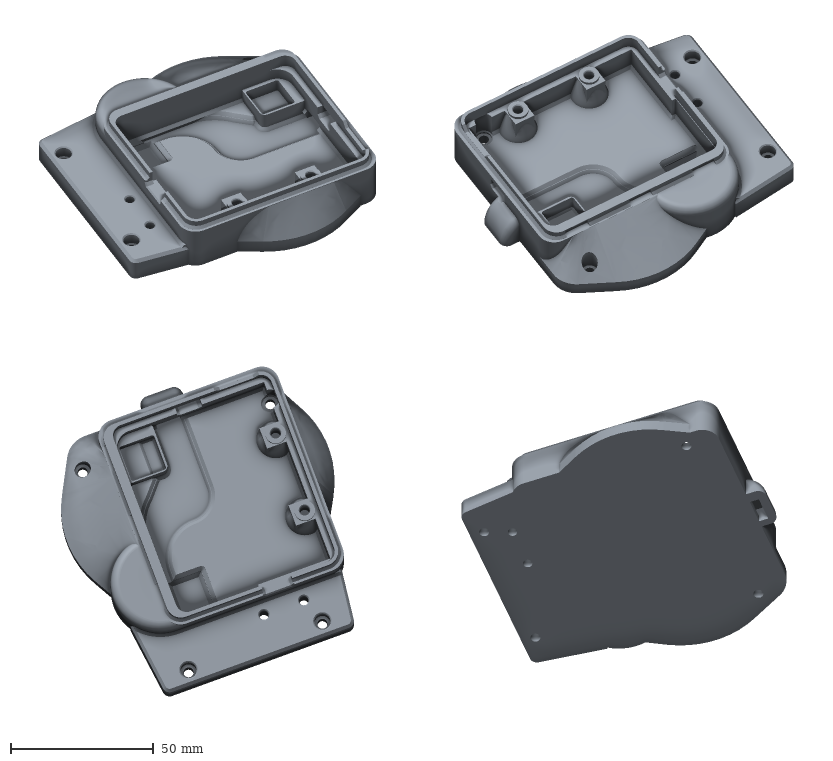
import cadquery as cq
import math

RIM_Z = 16.4
LIP_Z = 19.5
LEDGE_Z = 14.6
FLOOR_Z = 5.2
CHANNEL_Z = 2.9
PLATE_Z = 8.5
FLANGE_EDGE_Z = 5.0
TRAY_Z = 10.1
TRAY_FLOOR_Z = 4.1
WINDOW_Z = 10.0
EDGE_CHAMFER = 1.0
SLIVER = 0.01

BODY_LEFT, BODY_RIGHT = -26.6, 40.2
BODY_FRONT, BODY_BACK = -32.1, 45.1
BODY_RADIUS = 6.2
LIP_LEFT, LIP_RIGHT = -25.2, 38.4
LIP_FRONT, LIP_BACK = -30.4, 43.0
LIP_RADIUS = 5.2
LIP_FOOT = 0.9
LIP_WALL = 1.2
CAVITY_LEFT, CAVITY_RIGHT = -21.8, 35.0
CAVITY_FRONT, CAVITY_BACK = -28.9, 39.7
CHANNEL_BACK = 43.4
SNAP_RECESSES = [(27.7, 37.2), (1.7, 10.7), (-24.5, -15.3)]

FLANGE_WIDTH = 97.6
FLANGE_RADIUS = 34.1
FLANGE_CENTER_X = FLANGE_WIDTH / 2 - FLANGE_RADIUS
FLANGE_Y = 11.9
FLANGE_FRONT = -16.5
FLANGE_ANGLE = 29.0
LOBE_RADIUS = 9.5
LOBE_X = 29.9
FLANGE_OVERLAP = 0.1

POD_X, POD_RADIUS = -23.9, 17.3
POD_Y = BODY_FRONT + POD_RADIUS
POD_FILLET = 3.1

PLATE_FRONT = -51.6
PLATE_BACK = -24.8
PLATE_HALF_FRONT, PLATE_HALF_BACK = 35.3, 38.6
PLATE_RADIUS = 2.6

COWL_HALF = 7.6
COWL_RADIUS = 12.1
COWL_FILLET = 3.1
COWL_Y = -PLATE_FRONT - COWL_RADIUS

SCREW_DIA = 3.5
HEAD_DIA = 5.7
HEAD_RIM_DIA = 6.5
HEAD_SEAT_Z = 4.1
REAR_SCREW_X, REAR_SCREW_Y = 35.0, 33.4
PLATE_SCREW_X, PLATE_SCREW_Y = 25.0, -46.5
SMALL_HOLE_DIA = 3.3
SMALL_HOLE_RIM = 0.4
SMALL_HOLES = [(6.6, -37.2), (21.5, -37.2)]

POST_X = 32.4
POST_YS = (20.9, -8.5)
POST_BASE_RADIUS = 6.8
POST_TOP_RADIUS = 3.8
POST_WIDTH = 7.7
POST_REACH = 4.6
POST_COLLAR_DIA = 7.2
POST_COLLAR = 1.0
POST_HOLE_DIA = 3.6
POST_HOLE_DEPTH = 8.3
POST_HOLE_RIM = 0.3


def block(x0, x1, y0, y1, z0, z1):
    return cq.Workplane("XY").box(x1 - x0, y1 - y0, z1 - z0, centered=False).translate((x0, y0, z0))


def rounded_block(x0, x1, y0, y1, z0, z1, radius):
    return block(x0, x1, y0, y1, z0, z1).edges("|Z").fillet(radius)


def footed_block(x0, x1, y0, y1, z0, z1, radius, foot):
    """Rounded block with a 45 degree skirt of the given width round its base."""
    skirt = rounded_block(x0 - foot, x1 + foot, y0 - foot, y1 + foot, z0, z0 + foot + SLIVER, radius + foot)
    skirt = skirt.faces(">Z").edges().chamfer(foot)
    return rounded_block(x0, x1, y0, y1, z0, z1, radius).union(skirt)


def cone(x, y, z0, z1, r0, r1):
    return cq.Workplane("XY").add(cq.Solid.makeCone(r0, r1, z1 - z0, cq.Vector(x, y, z0)))


def cylinder(x, y, z0, z1, dia):
    return cq.Workplane("XY", (x, y, z0)).circle(dia / 2).extrude(z1 - z0)


def rimmed_hole(x, y, z0, z1, dia, rim):
    """Hole with a 45 degree chamfer of width rim at its top."""
    return cylinder(x, y, z0, z1, dia).union(cone(x, y, z1 - rim, z1, dia / 2, dia / 2 + rim))


def screw_hole(x, y, surface_z):
    rim = (HEAD_RIM_DIA - HEAD_DIA) / 2
    hole = cylinder(x, y, 0, surface_z, SCREW_DIA)
    return hole.union(rimmed_hole(x, y, HEAD_SEAT_Z, surface_z, HEAD_DIA, rim))


def flange_outline(z):
    """Left flange: rounded rear lobe, straight flank, side arc and straight front flank."""
    angle = math.radians(FLANGE_ANGLE)
    mid = math.radians((FLANGE_ANGLE + 90) / 2)
    lobe_y = BODY_BACK - LOBE_RADIUS
    arc_x = -FLANGE_CENTER_X - FLANGE_RADIUS * math.cos(angle)
    arc_y = FLANGE_RADIUS * math.sin(angle)
    front_x = arc_x + (FLANGE_Y - arc_y - FLANGE_FRONT) * math.tan(angle)
    return (
        cq.Workplane("XY", (0, 0, z)).moveTo(0, BODY_BACK).lineTo(-LOBE_X, BODY_BACK)
        .threePointArc((-LOBE_X - LOBE_RADIUS * math.cos(mid), lobe_y + LOBE_RADIUS * math.sin(mid)),
                       (-LOBE_X - LOBE_RADIUS * math.cos(angle), lobe_y + LOBE_RADIUS * math.sin(angle)))
        .lineTo(arc_x, FLANGE_Y + arc_y)
        .threePointArc((-FLANGE_CENTER_X - FLANGE_RADIUS, FLANGE_Y), (arc_x, FLANGE_Y - arc_y))
        .lineTo(front_x, FLANGE_FRONT).lineTo(0, FLANGE_FRONT).close()
    )


def flange(wall_x):
    """Left flange: a straight edge band and a ruled slope up to the housing wall at wall_x."""
    top_x = wall_x + FLANGE_OVERLAP
    back_y, lobe_end_y, flank_end_y, arc_end_y = 34.6, 29.9, 25.8, 0
    front_inset = 2.1
    slope = (
        flange_outline(FLANGE_EDGE_Z).workplane(offset=RIM_Z - FLANGE_EDGE_Z)
        .moveTo(0, back_y).lineTo(top_x, back_y).lineTo(top_x, lobe_end_y)
        .lineTo(top_x, flank_end_y).lineTo(top_x, arc_end_y)
        .lineTo(top_x + front_inset, FLANGE_FRONT).lineTo(0, FLANGE_FRONT).close()
        .loft(ruled=True)
    )
    return flange_outline(0).extrude(FLANGE_EDGE_Z).union(slope)


def pod():
    """Round pod whose straight end runs into the housing."""
    end_x = -16.5
    return (
        cq.Workplane("XY").moveTo(end_x, BODY_FRONT).lineTo(POD_X, BODY_FRONT)
        .threePointArc((POD_X - POD_RADIUS, POD_Y), (POD_X, POD_Y + POD_RADIUS))
        .lineTo(end_x, POD_Y + POD_RADIUS).close().extrude(RIM_Z)
        .faces(">Z").edges("not >X").fillet(POD_FILLET)
    )


def plate():
    return (
        cq.Workplane("XY")
        .polyline([(-PLATE_HALF_FRONT, PLATE_FRONT), (PLATE_HALF_FRONT, PLATE_FRONT),
                   (PLATE_HALF_BACK, PLATE_BACK), (-PLATE_HALF_BACK, PLATE_BACK)])
        .close().extrude(PLATE_Z)
        .edges("|Z and <Y").fillet(PLATE_RADIUS)
        .faces(">Z").edges().chamfer(EDGE_CHAMFER)
    )


def wall_foot():
    """Chamfered skirt where the housing and the pod stand on the front plate."""
    z0, z1 = PLATE_Z, PLATE_Z + EDGE_CHAMFER
    left, right, back = -37.7, 37.2, -22.7
    inner_y = BODY_FRONT + EDGE_CHAMFER
    skirt = cone(POD_X, POD_Y, z0, z1, POD_RADIUS + EDGE_CHAMFER, POD_RADIUS)
    straight = (
        cq.Workplane("YZ", (POD_X, 0, 0))
        .polyline([(inner_y, z0), (BODY_FRONT - EDGE_CHAMFER, z0), (BODY_FRONT, z1), (inner_y, z1)])
        .close().extrude(right - POD_X)
    )
    front = block(left, BODY_RIGHT, PLATE_FRONT, back, z0, z1)
    return skirt.intersect(front).union(straight)


def cowl():
    """Quarter-round cowl with rounded ends behind the rear wall."""
    return (
        cq.Workplane("YZ", (-COWL_HALF, 0, 0)).moveTo(COWL_Y, 0).lineTo(COWL_Y + COWL_RADIUS, 0)
        .radiusArc((COWL_Y, COWL_RADIUS), -COWL_RADIUS).close().extrude(2 * COWL_HALF)
        .edges("%CIRCLE").fillet(COWL_FILLET)
    )


def lip():
    return footed_block(LIP_LEFT, LIP_RIGHT, LIP_FRONT, LIP_BACK, RIM_Z, LIP_Z, LIP_RADIUS, LIP_FOOT)


def snap_recess(y0, y1):
    """Undercut snap recess in the left lip, sloping out to the lip face near its top."""
    depth, back_height, full_height = 1.0, 1.1, 2.7
    left = LIP_LEFT - LIP_FOOT - 0.1
    return (
        cq.Workplane("XZ", (0, y1, 0))
        .polyline([(left, RIM_Z), (LIP_LEFT + depth, RIM_Z), (LIP_LEFT + depth, RIM_Z + back_height),
                   (LIP_LEFT, RIM_Z + full_height), (left, RIM_Z + full_height)])
        .close().extrude(y1 - y0)
    )


def cavity():
    """Lid seat above the ledge, and the deeper well with a bench along its right front wall."""
    bench_left, bench_back = 8.0, -27.5
    rear_radius, front_radius = 6.2, 3.1
    lid_seat = rounded_block(CAVITY_LEFT, LIP_RIGHT - LIP_WALL, LIP_FRONT + LIP_WALL, LIP_BACK - LIP_WALL,
                             LEDGE_Z, LIP_Z, LIP_RADIUS - LIP_WALL)
    well = block(CAVITY_LEFT, CAVITY_RIGHT, CAVITY_FRONT, CAVITY_BACK, FLOOR_Z, LEDGE_Z)
    well = well.cut(block(bench_left, CAVITY_RIGHT, CAVITY_FRONT, bench_back, FLOOR_Z, LEDGE_Z))
    well = well.edges("|Z and <X and >Y").fillet(rear_radius)
    well = well.edges("|Z and <X and <Y").fillet(front_radius)
    well = well.faces("<Z").edges().chamfer(EDGE_CHAMFER)
    return lid_seat.union(well)


def channel_outline(z):
    """Floor outline of the cable channel: rear wall, an S bend, then the left front pocket."""
    x_start, y_bend, bend_radius = 3.9, 12.9, 8.4
    x_end = -19.3
    x_mid, y_mid = x_start - bend_radius, y_bend - bend_radius
    end_radius = x_mid - x_end
    return (
        cq.Workplane("XY", (0, 0, z)).moveTo(x_start, CHANNEL_BACK).lineTo(x_start, y_bend)
        .radiusArc((x_mid, y_mid), bend_radius)
        .radiusArc((x_end, y_mid - end_radius), -end_radius)
        .lineTo(x_end, -16.5).lineTo(-25.8, -16.5).lineTo(-25.8, 3.3).lineTo(CAVITY_LEFT, 3.3)
        .threePointArc((-20.0, 9.8), (-15.5, 15.9)).lineTo(-10.7, 21.4).lineTo(-10.7, CHANNEL_BACK).close()
    )


def channel():
    """Cable channel with a steep lower flank and a 45 degree upper flank."""
    half_depth = (FLOOR_Z - CHANNEL_Z) / 2
    mid_z = CHANNEL_Z + half_depth
    lower = channel_outline(CHANNEL_Z).extrude(half_depth, taper=-40)
    upper = channel_outline(mid_z).offset2D(half_depth).extrude(half_depth, taper=-45)
    clip = block(CAVITY_LEFT, CAVITY_RIGHT, CAVITY_FRONT, CAVITY_BACK, 0, FLOOR_Z)
    return lower.union(upper).intersect(clip)


def corner_pocket():
    """Stepped pocket at the left front corner of the cavity floor."""
    bevel = 1.4
    upper = rounded_block(CAVITY_LEFT, -6.7, -28.4, -12.5, 3.5, FLOOR_Z, 1.5)
    upper = upper.faces("<Z").edges().chamfer(bevel)
    lower = block(-21.0, -8.3, -27.7, -13.8, 1.5, 3.7).faces("<Z").edges().chamfer(bevel)
    return upper.union(lower)


def tray():
    """Raised open box at the left rear corner of the cavity."""
    box = footed_block(-23.2, -6.7, 22.7, 40.8, CHANNEL_Z, TRAY_Z, 2.1, 1.2)
    hollow = rounded_block(-20.4, -7.4, 23.2, 36.2, TRAY_FLOOR_Z, TRAY_Z, 0.8)
    return box.cut(hollow.faces("<Z").edges().chamfer(0.7))


def post(y):
    """Lid post: a cone merged with a square column, with a drilled collar on top."""
    top = LEDGE_Z + POST_COLLAR
    base = cone(POST_X, y, FLOOR_Z, LEDGE_Z, POST_BASE_RADIUS, POST_TOP_RADIUS)
    column = block(POST_X - POST_REACH, CAVITY_RIGHT, y - POST_WIDTH / 2, y + POST_WIDTH / 2, FLOOR_Z, LEDGE_Z)
    collar = cylinder(POST_X, y, LEDGE_Z, top, POST_COLLAR_DIA)
    inside = block(CAVITY_LEFT, LIP_RIGHT, LIP_FRONT, LIP_BACK, 0, LIP_Z)
    solid = base.union(column).union(collar).intersect(inside)
    return solid.cut(rimmed_hole(POST_X, y, top - POST_HOLE_DEPTH, top, POST_HOLE_DIA, POST_HOLE_RIM))


def front_notch():
    """Notch through the front lip and wall, level with the lid seat and chamfered on the outside."""
    left, right, corner, bevel = 8.5, 19.6, 1.0, 0.5
    depth = 5.2
    top = LIP_Z + 1

    def outline(y, grow):
        return cq.Workplane("XZ", (0, y, 0)).polyline([
            (left - grow, top), (left - grow, LEDGE_Z + corner), (left + corner - grow, LEDGE_Z - grow),
            (right - corner + grow, LEDGE_Z - grow), (right + grow, LEDGE_Z + corner), (right + grow, top),
        ]).close()

    notch = outline(LIP_FRONT + 2.1, 0).extrude(depth)
    flare = outline(BODY_FRONT + bevel, 0).workplane(offset=bevel).add(outline(BODY_FRONT, bevel)).toPending()
    return notch.union(flare.loft(ruled=True))


def rear_notch():
    """Notch with sloping ends in the rear lip."""
    left, right, depth = 17.3, 34.0, 2.1
    return (
        cq.Workplane("XZ", (0, BODY_BACK, 0))
        .polyline([(left, LIP_Z), (left + depth, LIP_Z - depth), (right - depth, LIP_Z - depth), (right, LIP_Z)])
        .close().extrude(BODY_BACK - LIP_BACK + LIP_WALL + 0.2)
    )


def rear_window():
    window = block(2.6, 11.9, 39.2, BODY_BACK + 2.1, WINDOW_Z, LEDGE_Z)
    return window.edges("|Y and <Z").chamfer(1.2)


def cable_exit():
    """Passage from the channel through the rear wall, opening downwards under the cowl."""
    left, right, back, top = -5.2, 3.9, 48.5, 7.2
    passage = block(left, right, CAVITY_BACK - 1, back, CHANNEL_Z, top)
    return passage.union(block(left, right, BODY_BACK, back, 0, top))


result = rounded_block(BODY_LEFT, BODY_RIGHT, BODY_FRONT, BODY_BACK, 0, RIM_Z, BODY_RADIUS)
right_flange = flange(-BODY_RIGHT).mirror("YZ")
for piece in (flange(BODY_LEFT), right_flange, pod(), plate(), wall_foot(), cowl(), lip()):
    result = result.union(piece)

for removed in (cavity(), channel(), corner_pocket()):
    result = result.cut(removed)
result = result.union(tray())
for post_y in POST_YS:
    result = result.union(post(post_y))

for removed in (front_notch(), rear_notch(), rear_window(), cable_exit()):
    result = result.cut(removed)
for recess_start, recess_end in SNAP_RECESSES:
    result = result.cut(snap_recess(recess_start, recess_end))

for side in (-1, 1):
    result = result.cut(screw_hole(side * PLATE_SCREW_X, PLATE_SCREW_Y, PLATE_Z))
result = result.cut(screw_hole(REAR_SCREW_X, REAR_SCREW_Y, FLOOR_Z))
result = result.cut(cylinder(REAR_SCREW_X, REAR_SCREW_Y, FLOOR_Z, LEDGE_Z, HEAD_RIM_DIA))
result = result.cut(cylinder(-REAR_SCREW_X, REAR_SCREW_Y, 0, RIM_Z, SCREW_DIA))
result = result.cut(cylinder(-REAR_SCREW_X, REAR_SCREW_Y, HEAD_SEAT_Z, RIM_Z, HEAD_DIA))
for hole_x, hole_y in SMALL_HOLES:
    result = result.cut(rimmed_hole(hole_x, hole_y, 0, PLATE_Z, SMALL_HOLE_DIA, SMALL_HOLE_RIM))